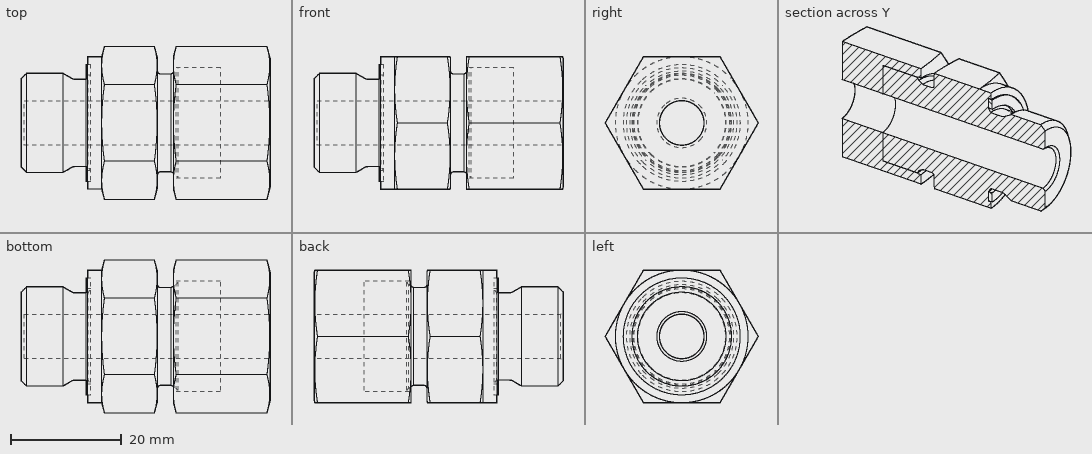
import cadquery as cq
import math


LENGTH = 45.0
ACROSS_FLATS = 24.0
BORE_RADIUS = 4.0
BORE_CHAMFER = 0.5

CONE_ANGLE = math.radians(30)
STEEP_ANGLE = math.radians(60)
BEVEL_ANGLE = math.radians(15)

CONE_SLOPE = math.tan(CONE_ANGLE)
STEEP_SLOPE = math.tan(STEEP_ANGLE)

STUD_RADIUS = 9.0
STUD_CHAMFER = 1.0
STUD_END = 7.5
NECK_RADIUS = 7.9
RUNOUT_FILLET = 1.0

COLLAR_START = 12.0
COLLAR_RADIUS = ACROSS_FLATS / 2
HEX_START = 14.55
HEX_END = 24.65

SEAL_PROUD = 0.25
SEAL_DEPTH = 0.5
SEAL_INNER_RADIUS = 8.65
SEAL_OUTER_RADIUS = 10.58
SEAL_START = COLLAR_START - SEAL_PROUD
SEAL_SEAT = COLLAR_START + SEAL_DEPTH

WAIST_RADIUS = 8.85
WAIST_FILLET = 0.5
WAIST_END = 27.1
NUT_START = 27.5
NUT_THREAD_RADIUS = 10.0
BODY_END = 36.0
WAIST_CONE_END = 28.0
WAIST_CONE_RADIUS = WAIST_RADIUS + CONE_SLOPE * (WAIST_CONE_END - WAIST_END)
THREAD_START = WAIST_CONE_END + (NUT_THREAD_RADIUS - WAIST_CONE_RADIUS) / STEEP_SLOPE

BEVEL_SLOPE = math.tan(BEVEL_ANGLE)
SMALL_FACE_RADIUS = 11.6
FULL_FACE_RADIUS = ACROSS_FLATS / 2


def revolve_profile(points):
    """Turn a closed (x, radius) outline about the X axis."""
    return cq.Workplane("XY").polyline(points).close().revolve(360, (0, 0, 0), (1, 0, 0))


def cylinder(start, end, radius):
    return cq.Workplane("YZ", origin=(start, 0, 0)).circle(radius).extrude(end - start)


def bevelled_hexagon(start, end, start_face_radius, end_face_radius):
    """Hexagonal prism with flats at top and bottom and both ends bevelled by a cone."""
    corner_diameter = ACROSS_FLATS / math.cos(math.pi / 6)
    clear_radius = corner_diameter
    hexagon = cq.Workplane("YZ", origin=(start, 0, 0)).polygon(6, corner_diameter).extrude(end - start)
    envelope = revolve_profile([
        (start, 0),
        (start, start_face_radius),
        (start + BEVEL_SLOPE * (clear_radius - start_face_radius), clear_radius),
        (end - BEVEL_SLOPE * (clear_radius - end_face_radius), clear_radius),
        (end, end_face_radius),
        (end, 0),
    ])
    return hexagon.intersect(envelope)


def make_stud():
    """Threaded stud, its run-out to the neck, and the cone at the root of the neck."""
    runout_end = STUD_END + (STUD_RADIUS - NECK_RADIUS) / CONE_SLOPE
    root_start = SEAL_SEAT - (SEAL_INNER_RADIUS - NECK_RADIUS) / STEEP_SLOPE
    tangent = RUNOUT_FILLET * math.tan(CONE_ANGLE / 2)
    blend_start = (
        runout_end - tangent * math.cos(CONE_ANGLE),
        NECK_RADIUS + tangent * math.sin(CONE_ANGLE),
    )
    blend_middle = (
        runout_end + tangent - RUNOUT_FILLET * math.sin(CONE_ANGLE / 2),
        NECK_RADIUS + RUNOUT_FILLET * (1 - math.cos(CONE_ANGLE / 2)),
    )
    blend_end = (runout_end + tangent, NECK_RADIUS)
    return (
        cq.Workplane("XY")
        .lineTo(0, STUD_RADIUS - STUD_CHAMFER)
        .lineTo(STUD_CHAMFER, STUD_RADIUS)
        .lineTo(STUD_END, STUD_RADIUS)
        .lineTo(*blend_start)
        .threePointArc(blend_middle, blend_end)
        .lineTo(root_start, NECK_RADIUS)
        .lineTo(SEAL_SEAT, SEAL_INNER_RADIUS)
        .lineTo(SEAL_SEAT, 0)
        .close()
        .revolve(360, (0, 0, 0), (1, 0, 0))
    )


def make_collar():
    """Collar in front of the hexagon, with the open groove that seats the seal ring."""
    collar = cylinder(COLLAR_START, HEX_START, COLLAR_RADIUS)
    return collar.cut(cylinder(COLLAR_START, SEAL_SEAT, SEAL_OUTER_RADIUS))


def make_waist():
    """Waist behind the hexagon, filleted into it, and the spigot that carries the nut."""
    diagonal = WAIST_FILLET * math.sqrt(0.5)
    return (
        cq.Workplane("XY")
        .moveTo(HEX_END, 0)
        .lineTo(HEX_END, WAIST_RADIUS + WAIST_FILLET)
        .threePointArc(
            (HEX_END + WAIST_FILLET - diagonal, WAIST_RADIUS + WAIST_FILLET - diagonal),
            (HEX_END + WAIST_FILLET, WAIST_RADIUS),
        )
        .lineTo(WAIST_END, WAIST_RADIUS)
        .lineTo(WAIST_CONE_END, WAIST_CONE_RADIUS)
        .lineTo(THREAD_START, NUT_THREAD_RADIUS)
        .lineTo(BODY_END, NUT_THREAD_RADIUS)
        .lineTo(BODY_END, 0)
        .close()
        .revolve(360, (0, 0, 0), (1, 0, 0))
    )


def make_bore():
    """Through bore with a chamfered mouth at the stud end."""
    return revolve_profile([
        (0, 0),
        (0, BORE_RADIUS + BORE_CHAMFER),
        (BORE_CHAMFER, BORE_RADIUS),
        (LENGTH, BORE_RADIUS),
        (LENGTH, 0),
    ])


def make_fitting_body():
    body_hexagon = bevelled_hexagon(HEX_START, HEX_END, FULL_FACE_RADIUS, SMALL_FACE_RADIUS)
    solid = make_stud().union(make_collar()).union(body_hexagon).union(make_waist())
    return solid.cut(make_bore())


def make_seal_ring():
    ring = cylinder(SEAL_START, SEAL_SEAT, SEAL_OUTER_RADIUS)
    return ring.cut(cylinder(SEAL_START, SEAL_SEAT, SEAL_INNER_RADIUS))


def make_nut():
    """Union nut, bored through and recessed for the spigot of the fitting body."""
    nut_hexagon = bevelled_hexagon(NUT_START, LENGTH, FULL_FACE_RADIUS, SMALL_FACE_RADIUS)
    return nut_hexagon.cut(cylinder(NUT_START, BODY_END, NUT_THREAD_RADIUS)).cut(make_bore())


fitting_body = make_fitting_body()
seal_ring = make_seal_ring()
nut = make_nut()

result = cq.Compound.makeCompound([fitting_body.val(), seal_ring.val(), nut.val()])